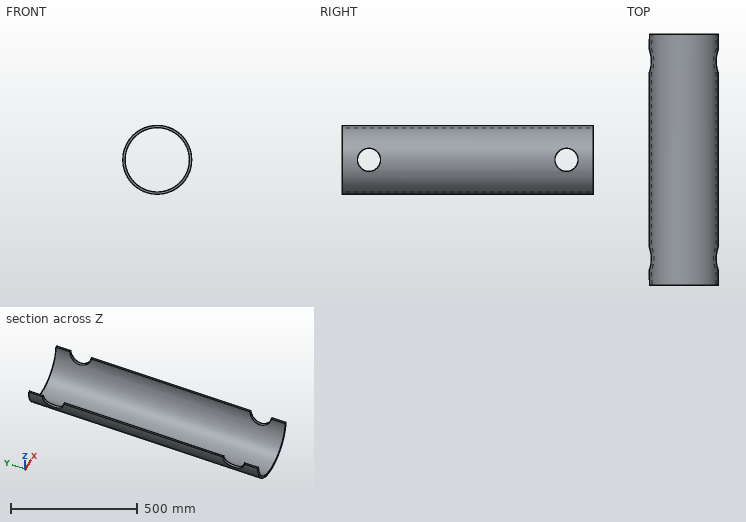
import cadquery as cq

length = 994.0
outer_diameter = 273.0
wall = 10.0

hole_diameter = 90.0
hole_end_distance = 106.0

inner_diameter = outer_diameter - 2 * wall
hole_offset = length / 2 - hole_end_distance


def make_tube():
    """Plain round tube, open at both ends."""
    end_plane = cq.Workplane("XZ", origin=(0, length / 2, 0))
    profile = end_plane.circle(outer_diameter / 2).circle(inner_diameter / 2)
    return profile.extrude(length)


def make_cross_holes():
    """Cylinders that cut the hole pairs through opposite walls."""
    centres = [(-hole_offset, 0), (hole_offset, 0)]
    sketch = cq.Workplane("YZ").pushPoints(centres).circle(hole_diameter / 2)
    return sketch.extrude(outer_diameter, both=True)


result = make_tube().cut(make_cross_holes())